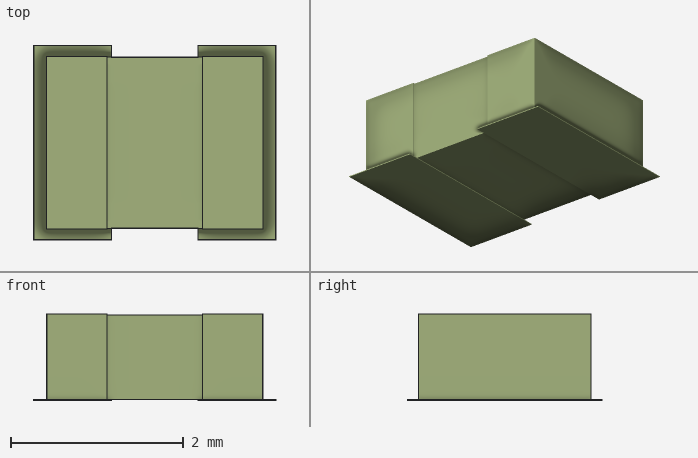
import cadquery as cq


overall_height = 1.0

pad_length = 0.9
pad_width = 2.25
pad_gap = 1.0
pad_thickness = 0.01

chip_length = 2.5
chip_width = 2.0
cap_length = 0.7
cap_step = 0.01

body_length = chip_length - 2 * cap_length
body_width = chip_width - 2 * cap_step
cap_height = overall_height - pad_thickness
body_height = cap_height - cap_step
pad_offset = (pad_gap + pad_length) / 2
cap_offset = (chip_length - cap_length) / 2


def block(length, width, height, center_x, base_z):
    """Rectangular block centred on Y, resting at base_z."""
    return (
        cq.Workplane("XY")
        .box(length, width, height, centered=(True, True, False))
        .translate((center_x, 0, base_z))
    )


result = block(body_length, body_width, body_height, 0, pad_thickness)

for side in (-1, 1):
    cap = block(cap_length, chip_width, cap_height, side * cap_offset, pad_thickness)
    pad = block(pad_length, pad_width, pad_thickness, side * pad_offset, 0)
    result = result.union(cap).union(pad)